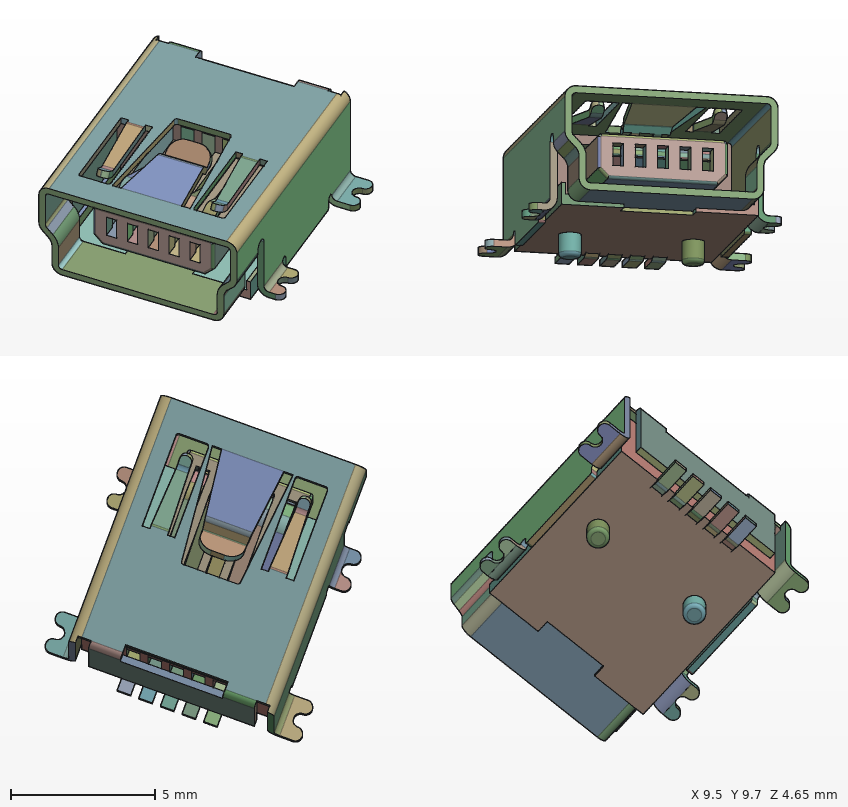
import cadquery as cq
import math


sheet = 0.25
half_width = 3.8
shell_top = 3.95
corner_radius = 0.4
plate_end = 9.01
wall_end = plate_end + sheet
nose_length = 1.73
nose_half_width = 3.3
nose_bottom = 0.25
nose_floor = nose_bottom + sheet
bend_high = 2.12
bend_low = bend_high - (half_width - nose_half_width)
bend_radius = 0.47
inner_half_width = half_width - sheet
ceiling = shell_top - sheet

relief_width = 0.485
relief_top = 2.68
foot_width = 1.51
foot_bend = 0.2
rear_foot_tip = 4.748
front_foot_tip = 4.5
notch_width = 0.26
notch_top = 0.55
skirt_radius = 0.08
flap_half_width = 3.07
flap_bend_radius = 0.24
flap_window_half_width = 1.89
flap_window_front = 8.73
flap_window_bottom = 3.44

openings_front = 1.1
opening_radius = 0.1
latch_hole_rear = 5.38
latch_hole_rear_half = 1.08
latch_hole_front_half = 1.49
latch_root_half = 1.15
latch_tip_half = 0.81
latch_bend_y = 3.58
latch_bend_z = 3.79
latch_valley_y = 3.92
latch_valley_z = 3.46
latch_tip_y = 4.57
latch_tip_z = 3.87
latch_corner_radius = 0.57
latch_bend_radius = 0.05
latch_valley_radius = 0.03
side_spring_x = 2.19
side_hole_inner = 1.6
side_hole_outer = 2.8
side_hole_rear = 4.6
side_root_y = 4.44
side_root_half = 0.33
side_tip_half = 0.22
side_tip_radius = 0.21
side_valley_y = 2.16
side_valley_z = 3.66
side_tip_y = 1.74
side_tip_z = 3.92
side_bend_radius = 0.29
plate_overlap = 0.1

clearance = 0.04
insert_half_width = inner_half_width - clearance
insert_top = ceiling - clearance
insert_radius = corner_radius - sheet - clearance
insert_bottom = 0.12
insert_rear = 8.76
wall_front = 5.75
base_top = 0.49
rim_top = 0.9
rim_width = 0.15
key_half_width = 1.29
tongue_front = 1.26
tongue_half_width = 2.32
tongue_top = 2.62
tongue_bottom = 1.02
tongue_chamfer = 0.35
tongue_rounding = 0.1
peg_x = 2.2
peg_y = 5.985
peg_radius = 0.4
peg_bottom = -0.7
peg_rounding = 0.15

contact_count = 5
contact_span = 3.2
contact_pitch = contact_span / (contact_count - 1)
contact_width = 0.5
contact_thickness = 0.21
tail_end = 9.7
tail_bend_y = 8.73
crest_y = 2.63
crest_z = 3.01
tip_y = 1.775
tip_bend_z = crest_z - (crest_y - tip_y)
tip_z = 2.0
tail_bend_radius = 0.1
crest_radius = 0.38
tip_bend_radius = 0.04
slot_front = 1.74
slot_bottom = 1.49
slot_top = 3.32
window_width = 0.39
window_top = 2.3


def block(x0, x1, y0, y1, z0, z1):
    """Axis-aligned box between the given limits."""
    return cq.Workplane("XY").box(x1 - x0, y1 - y0, z1 - z0, centered=False).translate((x0, y0, z0))


def left_and_right(body):
    """The body together with its mirror image across X = 0."""
    return body.union(body.mirror("YZ"))


def bent_strip(points, thickness, width, radii):
    """Strip bent along (y, z) points of one face, thickened to the left of the direction of travel.

    radii holds the inside radius of the bend at each interior point, or None for a sharp bend.
    """
    angles = [math.atan2(b[1] - a[1], b[0] - a[0]) for a, b in zip(points, points[1:])]
    turns = [math.remainder(b - a, math.tau) for a, b in zip(angles, angles[1:])]
    back = []
    for (y, z), angle, turn in zip(points, angles[:1] + angles, [0] + turns + [0]):
        normal = angle + (turn + math.pi) / 2
        reach = thickness / math.cos(turn / 2)
        back.append((y + reach * math.cos(normal), z + reach * math.sin(normal)))
    strip = cq.Workplane("YZ").polyline(points + back[::-1]).close().extrude(width / 2, both=True)
    for i, radius in enumerate(radii, start=1):
        if radius is None:
            continue
        inside, outside = (back[i], points[i]) if turns[i - 1] > 0 else (points[i], back[i])
        for corner, bend in ((inside, radius), (outside, radius + thickness)):
            edge = cq.selectors.NearestToPointSelector((0, *corner))
            strip = strip.edges(edge).fillet(bend)
    return strip


def nose():
    """Lower, stepped-in part of the D-shaped tube that guides the plug."""
    right_side = [
        (half_width, shell_top),
        (half_width, bend_high),
        (nose_half_width, bend_low),
        (nose_half_width, nose_bottom),
    ]
    left_side = [(-x, z) for x, z in right_side[::-1]]
    outer = cq.Workplane("XZ").polyline(right_side + left_side).close().extrude(-nose_length)
    outer = outer.edges("|Y and <Z").fillet(corner_radius)
    for x, z in left_side[1:3] + right_side[1:3]:
        bend = cq.selectors.NearestToPointSelector((x, nose_length / 2, z))
        outer = outer.edges(bend).fillet(bend_radius)
    inner_wire = outer.faces("<Y").wires().val().offset2D(-sheet)[0]
    cavity = cq.Solid.extrudeLinear(inner_wire, [], cq.Vector(0, nose_length, 0))
    lower_part = block(-half_width, half_width, 0, nose_length, 0, relief_top)
    return outer.cut(cq.Workplane(cavity)).intersect(lower_part)


def rounded_top_block(half, y0, y1, z0, z1, radius):
    """Block centred on X = 0 with its two long top edges rounded."""
    return block(-half, half, y0, y1, z0, z1).edges("|Y and >Z").fillet(radius)


def body_walls():
    """Top plate and side walls over the full length, open below the upper walls of the nose."""
    walls = rounded_top_block(half_width, 0, wall_end, 0, shell_top, corner_radius)
    walls = walls.cut(
        rounded_top_block(inner_half_width, 0, wall_end, 0, ceiling, corner_radius - sheet)
    )
    walls = walls.cut(block(-half_width, half_width, 0, nose_length, 0, relief_top))
    return walls.cut(block(-inner_half_width, inner_half_width, plate_end, wall_end, 0, shell_top))


def side_relief(y0, width, top):
    """Round-topped slot through both side walls, open at the bottom."""
    radius = width / 2
    slot = block(-half_width, half_width, y0, y0 + width, 0, top - radius)
    arch = cq.Workplane("YZ").center(y0 + radius, top - radius).circle(radius)
    return slot.union(arch.extrude(half_width, both=True))


def solder_foot(y0, tip):
    """Right-hand foot: bend out of the wall and a plate ending in two round prongs."""
    prong = foot_width / 6
    prong_x = tip - prong
    y1 = y0 + foot_width
    middle = (y0 + y1) / 2
    foot = block(inner_half_width, half_width, y0, y1, 0, notch_top)
    foot = foot.union(block(half_width, prong_x, y0, y1, 0, sheet))
    outside = cq.selectors.NearestToPointSelector((inner_half_width, middle, 0))
    inside = cq.selectors.NearestToPointSelector((half_width, middle, sheet))
    foot = foot.edges(inside).fillet(foot_bend)
    foot = foot.edges(outside).fillet(foot_bend + sheet)
    tips = cq.Workplane("XY").pushPoints([(prong_x, y0 + prong), (prong_x, y1 - prong)])
    foot = foot.union(tips.circle(prong).extrude(sheet))
    return foot.cut(cq.Workplane("XY").center(prong_x, middle).circle(prong).extrude(sheet))


def rear_flap():
    """Flap bent down behind the top plate."""
    flap = block(-flap_half_width, flap_half_width, plate_end, wall_end, nose_bottom, shell_top)
    return flap.edges("|X and >Y and >Z").fillet(flap_bend_radius)


def flap_window():
    """Window through the bend of the rear flap, above the contacts."""
    half = flap_window_half_width
    return block(-half, half, flap_window_front, wall_end, flap_window_bottom, shell_top)


def latch_opening():
    corners = [
        (-latch_hole_front_half, openings_front),
        (latch_hole_front_half, openings_front),
        (latch_hole_rear_half, latch_hole_rear),
        (-latch_hole_rear_half, latch_hole_rear),
    ]
    opening = cq.Workplane("XY").workplane(offset=ceiling).polyline(corners).close().extrude(sheet)
    return opening.edges("|Z and >Y").fillet(opening_radius)


def latch():
    """Tapered spring that dips into the cavity and turns up at its rounded free end."""
    rooted_y = openings_front - plate_overlap
    top_face = [
        (latch_tip_y, latch_tip_z),
        (latch_valley_y, latch_valley_z),
        (latch_bend_y, latch_bend_z),
        (openings_front, shell_top),
        (rooted_y, shell_top),
    ]
    bends = [latch_valley_radius, latch_bend_radius, None]
    strip = bent_strip(top_face, sheet, 2 * latch_root_half, bends)
    outline = [
        (latch_root_half, rooted_y),
        (latch_root_half, openings_front),
        (latch_tip_half, latch_valley_y),
        (latch_tip_half, latch_hole_rear),
    ]
    outline += [(-x, y) for x, y in outline[::-1]]
    strip = strip.intersect(cq.Workplane("XY").polyline(outline).close().extrude(shell_top))
    tip_corners = strip.faces(">Y").edges("not |X")
    return tip_corners.fillet(latch_corner_radius)


def side_opening():
    """Right-hand opening around a side spring."""
    opening = block(side_hole_inner, side_hole_outer, openings_front, side_hole_rear, ceiling, shell_top)
    return opening.edges("|Z and <Y").fillet(opening_radius)


def side_spring():
    """Narrow spring on the right that dips into the cavity and turns up at its rounded front end."""
    rooted_y = side_hole_rear + plate_overlap
    top_face = [
        (rooted_y, shell_top),
        (side_root_y, shell_top),
        (side_valley_y, side_valley_z),
        (side_tip_y, side_tip_z),
    ]
    strip = bent_strip(top_face, sheet, 2 * side_root_half, [side_bend_radius, side_bend_radius])
    outline = [
        (side_root_half, rooted_y),
        (side_root_half, side_root_y),
        (side_tip_half, side_valley_y),
        (side_tip_half, 0),
    ]
    outline += [(-x, y) for x, y in outline[::-1]]
    strip = strip.intersect(cq.Workplane("XY").polyline(outline).close().extrude(shell_top))
    tip_corners = strip.faces("<Y").edges("not |X")
    strip = tip_corners.fillet(side_tip_radius)
    return strip.translate((side_spring_x, 0, 0))


def shell():
    front_foot_y = nose_length + relief_width
    rear_foot_y = wall_end - foot_width
    part = nose().union(body_walls()).union(rear_flap())
    for y0, tip in ((front_foot_y, front_foot_tip), (rear_foot_y, rear_foot_tip)):
        wall_foot = block(inner_half_width, half_width, y0, y0 + foot_width, 0, notch_top)
        part = part.cut(left_and_right(wall_foot)).union(left_and_right(solder_foot(y0, tip)))
    part = part.cut(side_relief(nose_length, relief_width, relief_top))
    for notch_y in (front_foot_y + foot_width, rear_foot_y - notch_width):
        part = part.cut(side_relief(notch_y, notch_width, notch_top))
    for x in (-half_width, half_width):
        for y in (front_foot_y + foot_width + notch_width, rear_foot_y - notch_width):
            corner = cq.selectors.NearestToPointSelector((x, y, 0))
            part = part.edges("|X").edges(corner).fillet(skirt_radius)
    part = part.cut(flap_window())
    part = part.cut(latch_opening()).union(latch())
    part = part.cut(left_and_right(side_opening())).union(left_and_right(side_spring()))
    tab = block(-key_half_width, key_half_width, nose_length, front_foot_y, nose_bottom, nose_floor)
    return part.union(tab)


def tongue():
    half = tongue_half_width
    part = block(-half, half, tongue_front, wall_front, tongue_bottom, tongue_top)
    part = part.edges("|Y and <Z").chamfer(tongue_chamfer)
    part = part.edges("|Y and >Z").chamfer(tongue_rounding)
    return part.faces("<Y").edges().fillet(tongue_rounding)


def peg():
    """Right-hand locating peg."""
    post = cq.Workplane("XY").workplane(offset=peg_bottom).center(peg_x, peg_y)
    post = post.circle(peg_radius).extrude(insert_bottom - peg_bottom)
    return post.faces("<Z").edges().fillet(peg_rounding)


def contact_slot(x):
    """Groove in the tongue, slot through the rear wall and window in the tongue tip."""
    half = contact_width / 2
    slot = block(x - half, x + half, slot_front, insert_rear, slot_bottom, slot_top)
    half = window_width / 2
    return slot.union(block(x - half, x + half, tongue_front, slot_front, slot_bottom, window_top))


def insert():
    half = insert_half_width
    key_end = nose_length + relief_width
    base = block(-half, half, nose_length, insert_rear, insert_bottom, base_top)
    base = base.cut(block(-key_half_width, key_half_width, nose_length, key_end, insert_bottom, base_top))
    rim = block(half - rim_width, half, nose_length, wall_front, base_top, rim_top)
    rear_wall = rounded_top_block(half, wall_front, insert_rear, insert_bottom, insert_top, insert_radius)
    return base.union(left_and_right(rim)).union(rear_wall).union(tongue()).union(left_and_right(peg()))


def contact(x):
    """Flat spring: solder tail, beam rising through the insert, crest and turned-down tip."""
    top_face = [
        (tail_end, contact_thickness),
        (tail_bend_y, contact_thickness),
        (crest_y, crest_z),
        (tip_y, tip_bend_z),
        (tip_y, tip_z),
    ]
    bends = [tail_bend_radius, crest_radius, tip_bend_radius]
    strip = bent_strip(top_face, contact_thickness, contact_width, bends)
    return strip.translate((x, 0, 0))


contact_places = [contact_pitch * (i - (contact_count - 1) / 2) for i in range(contact_count)]
contacts = [contact(x) for x in contact_places]
housing = shell().union(insert())
for x, piece in zip(contact_places, contacts):
    housing = housing.cut(contact_slot(x)).cut(piece)

result = cq.Compound.makeCompound([housing.val(), *[piece.val() for piece in contacts]])